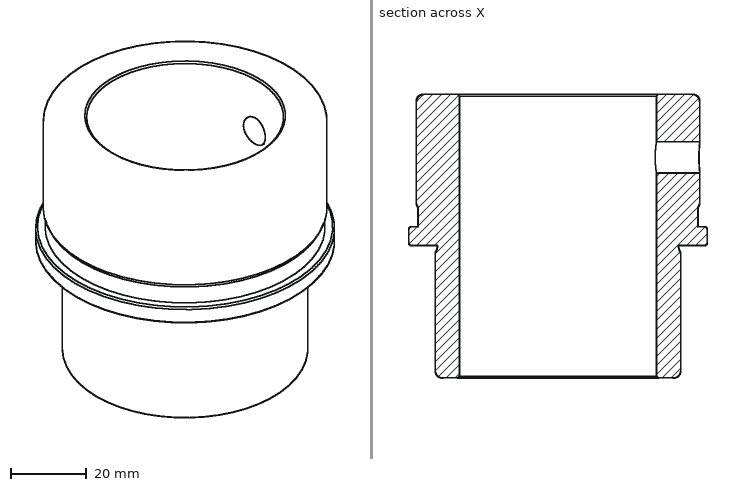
import cadquery as cq

total_height = 75.0
flange_bottom = 35.0
flange_thickness = 5.0
flange_top = flange_bottom + flange_thickness
neck_height = 5.0
neck_top = flange_top + neck_height

head_radius = 75.0 / 2
neck_radius = 74.0 / 2
flange_radius = 79.0 / 2
spigot_radius = 65.0 / 2
bore_radius = 52.0 / 2

end_fillet = 2.0
flange_chamfer = 0.5
bore_chamfer = 0.5
head_taper_height = 1.0
relief_depth = 0.6
relief_height = 1.9

cross_hole_diameter = 8.2
cross_hole_height = 58.3


def make_outer_body():
    """Solid of revolution: spigot, relief, flange, neck and head."""
    relief_radius = spigot_radius - relief_depth
    relief_bottom = flange_bottom - relief_height
    relief_arc_radius = (relief_height**2 + relief_depth**2) / (2 * relief_depth)
    profile = (
        cq.Workplane("XZ")
        .moveTo(0, 0)
        .lineTo(spigot_radius - end_fillet, 0)
        .radiusArc((spigot_radius, end_fillet), -end_fillet)
        .lineTo(spigot_radius, relief_bottom)
        .radiusArc((relief_radius, flange_bottom), relief_arc_radius)
        .lineTo(flange_radius - flange_chamfer, flange_bottom)
        .lineTo(flange_radius, flange_bottom + flange_chamfer)
        .lineTo(flange_radius, flange_top - flange_chamfer)
        .lineTo(flange_radius - flange_chamfer, flange_top)
        .lineTo(neck_radius, flange_top)
        .lineTo(neck_radius, neck_top)
        .lineTo(head_radius, neck_top + head_taper_height)
        .lineTo(head_radius, total_height - end_fillet)
        .radiusArc((head_radius - end_fillet, total_height), -end_fillet)
        .lineTo(0, total_height)
        .close()
    )
    return profile.revolve(360, (0, 0, 0), (0, 1, 0))


def cut_bore(body):
    """Bore the full length and chamfer both mouths."""
    mouth_radius = bore_radius + bore_chamfer
    bore = (
        cq.Workplane("XZ")
        .moveTo(0, 0)
        .lineTo(mouth_radius, 0)
        .lineTo(bore_radius, bore_chamfer)
        .lineTo(bore_radius, total_height - bore_chamfer)
        .lineTo(mouth_radius, total_height)
        .lineTo(0, total_height)
        .close()
        .revolve(360, (0, 0, 0), (0, 1, 0))
    )
    return body.cut(bore)


def cut_cross_hole(body):
    """Drill one wall only, from the axis out through the +Y side."""
    drill = (
        cq.Workplane("XZ")
        .center(0, cross_hole_height)
        .circle(cross_hole_diameter / 2)
        .extrude(-flange_radius)
    )
    return body.cut(drill)


result = cut_cross_hole(cut_bore(make_outer_body()))